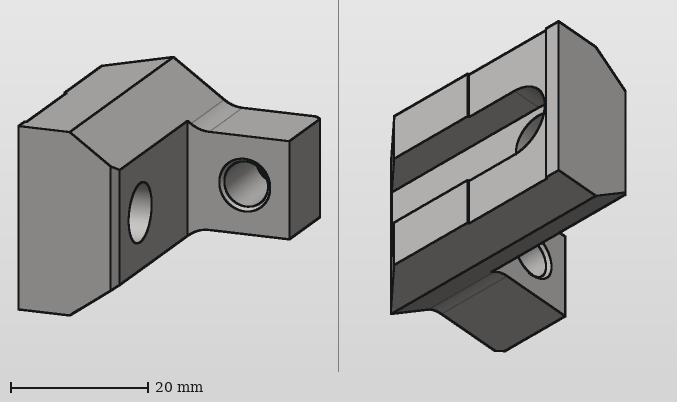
import cadquery as cq
import math

length_x = 31.5
length_y = 40.5
height = 28.0

body_depth = 15.5
arm_width = 13.0
arm_height = 15.0
corner_chamfer = 7.98
edge_chamfer = 1.0

flank_start = 8.05
flank_angle = math.radians(35)
blend_radius = 5.02

slot_width = 12.0
slot_depth = 5.5
body_hole_diameter = 9.0
body_hole_y = 9.0

relief_start = 2.5
relief_end = 18.0
relief_depth = 0.3

arm_hole_diameter = 6.9
countersink_diameter = 8.0
arm_hole_x = 24.5


def make_plan():
    """L-shaped plan with its chamfered corners, extruded over the full height."""
    points = [
        (0, 0),
        (body_depth - edge_chamfer, 0),
        (body_depth, edge_chamfer),
        (body_depth, length_y - arm_width),
        (length_x, length_y - arm_width),
        (length_x, length_y - edge_chamfer),
        (length_x - edge_chamfer, length_y),
        (corner_chamfer, length_y),
        (0, length_y - corner_chamfer),
    ]
    return cq.Workplane("XY").polyline(points).close().extrude(height / 2, both=True)


def make_side_profile():
    """Tapered XZ profile, with arcs tangent to the flanks and to the arm."""
    top = height / 2
    arm_top = arm_height / 2
    blend_rise = blend_radius * (1 - math.cos(flank_angle))
    blend_start_z = arm_top + blend_rise
    blend_start_x = flank_start + (top - blend_start_z) / math.tan(flank_angle)
    blend_end_x = blend_start_x + blend_radius * math.sin(flank_angle)
    blend_mid_x = blend_end_x - blend_radius * math.sin(flank_angle / 2)
    blend_mid_z = arm_top + blend_radius * (1 - math.cos(flank_angle / 2))
    return (
        cq.Workplane("XZ")
        .moveTo(0, top)
        .lineTo(flank_start, top)
        .lineTo(blend_start_x, blend_start_z)
        .threePointArc((blend_mid_x, blend_mid_z), (blend_end_x, arm_top))
        .lineTo(length_x, arm_top)
        .lineTo(length_x, -arm_top)
        .lineTo(blend_end_x, -arm_top)
        .threePointArc((blend_mid_x, -blend_mid_z), (blend_start_x, -blend_start_z))
        .lineTo(flank_start, -top)
        .lineTo(0, -top)
        .close()
        .extrude(-length_y)
    )


def make_slot():
    """Round-ended slot in the back face, running out through the corner chamfer."""
    straight_length = length_y - body_hole_y
    straight = cq.Workplane("XY").box(
        slot_depth, straight_length, slot_width, centered=(False, False, True)
    ).translate((0, body_hole_y, 0))
    round_end = cq.Workplane("YZ").center(body_hole_y, 0).circle(slot_width / 2).extrude(slot_depth)
    return straight.union(round_end)


def make_body_hole():
    return cq.Workplane("YZ").center(body_hole_y, 0).circle(body_hole_diameter / 2).extrude(body_depth)


def make_relief():
    return cq.Workplane("XY").box(
        relief_depth, relief_end - relief_start, height, centered=(False, False, True)
    ).translate((0, relief_start, 0))


def make_arm_hole():
    """Through hole with a 45 degree countersink on the inner face of the arm."""
    hole_radius = arm_hole_diameter / 2
    sink_radius = countersink_diameter / 2
    sink_depth = sink_radius - hole_radius
    inner_face_y = length_y - arm_width
    return (
        cq.Workplane("XY")
        .moveTo(arm_hole_x, inner_face_y)
        .lineTo(arm_hole_x + sink_radius, inner_face_y)
        .lineTo(arm_hole_x + hole_radius, inner_face_y + sink_depth)
        .lineTo(arm_hole_x + hole_radius, length_y)
        .lineTo(arm_hole_x, length_y)
        .close()
        .revolve(360, (arm_hole_x, 0, 0), (arm_hole_x, 1, 0))
    )


result = make_plan().intersect(make_side_profile())
for cutter in (make_relief(), make_slot(), make_body_hole(), make_arm_hole()):
    result = result.cut(cutter)